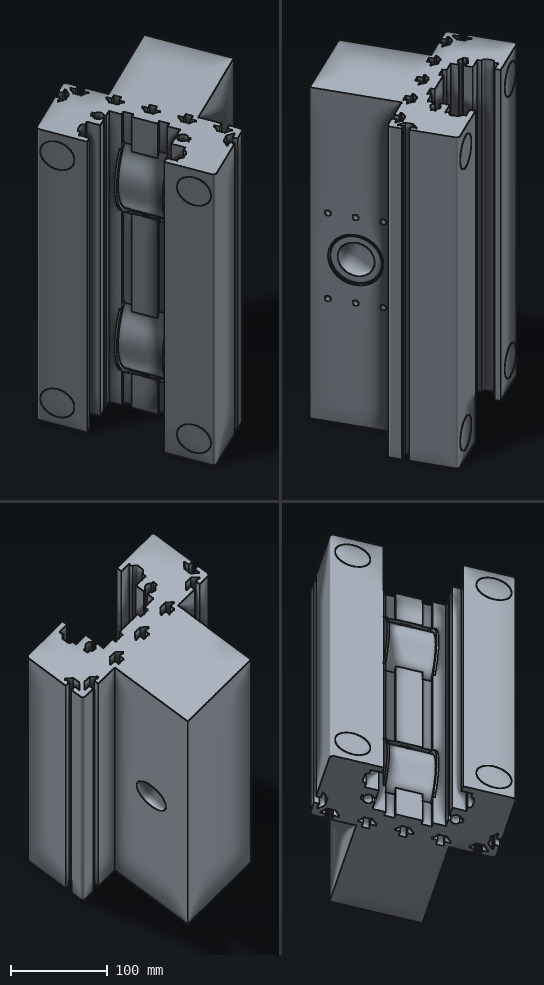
import cadquery as cq

length = 400.0
rail_width = 200.0
rail_depth = 78.0
corner_radius = 4.0

slot_pitch = 40.0
slots_on_mounting_face = 5
side_slot_y = -20.0
slot_opening = 8.0
slot_width = 20.0
slot_lip = 5.5
slot_wall = 1.0
slot_depth = 12.25
slot_floor_width = 8.5

channel_floor_y = -24.8
channel_half_width = 39.5
ledge_y = -48.9
chamber_half_width = 54.7
chamber_floor_y = -71.5
mouth_half_width = 42.8
groove_height = 13.0
groove_corner_radius = 4.0
groove_depth = 4.3
wall_slit_y = -35.8
wall_slit_height = 5.0
wall_bore_x = 47.0
wall_bore_diameter = 11.0

floor_groove_inner_x = 14.5
floor_groove_outer_x = 25.5
floor_groove_depth = 4.6

wheel_spacing = 220.0
flange_radius = 70.0
flange_crown_y = -39.0
flange_width = 2.3
tread_radius = 65.6
tread_width = 2 * floor_groove_outer_x

pad_diameter = 38.0
pad_spacing_x = 152.0
pad_spacing_z = 340.0
pad_recess = 0.2

block_size = 100.0
bore_diameter = 40.0
outer_step_diameter = 60.0
outer_step_depth = 1.0
inner_step_diameter = 56.0
inner_step_depth = 2.0
screw_hole_diameter = 6.65
screw_hole_depth = 15.0
screw_spacing_y = 30.0
screw_spacing_z = 103.4


def extrude_full_length(sketch):
    """Extrude a section drawn in the XY plane over the whole length, centred on Z = 0."""
    return sketch.extrude(length / 2, both=True)


def mirrored_in_x(solid):
    return solid.union(solid.mirror("YZ"))


def t_slot():
    """T-slot cutter, opening toward +Y at the origin."""
    half_right = [
        (slot_opening / 2, 0),
        (slot_opening / 2, -slot_lip),
        (slot_width / 2, -slot_lip),
        (slot_width / 2, -slot_lip - slot_wall),
        (slot_floor_width / 2, -slot_depth),
    ]
    half_left = [(-x, y) for x, y in reversed(half_right)]
    return extrude_full_length(cq.Workplane("XY").polyline(half_right + half_left).close())


def channel():
    """Open channel with undercut chambers and a rounded groove in each chamber wall."""
    half = (
        cq.Workplane("XY")
        .moveTo(0, channel_floor_y)
        .lineTo(channel_half_width, channel_floor_y)
        .lineTo(channel_half_width, ledge_y)
        .lineTo(chamber_half_width, ledge_y)
        .lineTo(chamber_half_width, chamber_floor_y)
        .lineTo(mouth_half_width, chamber_floor_y)
        .lineTo(mouth_half_width, -rail_depth)
        .lineTo(0, -rail_depth)
        .close()
    )
    groove_reach = chamber_half_width + groove_depth
    groove_y = (ledge_y + chamber_floor_y) / 2
    grooves = (
        cq.Workplane("XY")
        .center(0, groove_y)
        .rect(2 * groove_reach, groove_height)
        .extrude(length / 2, both=True)
        .edges("|Z")
        .fillet(groove_corner_radius)
    )
    return mirrored_in_x(extrude_full_length(half)).union(grooves)


def wall_slits():
    """Slit with a round bore along it, in both channel walls."""
    slit_width = chamber_half_width - channel_half_width
    slit_x = (chamber_half_width + channel_half_width) / 2
    slit = extrude_full_length(
        cq.Workplane("XY").center(slit_x, wall_slit_y).rect(slit_width, wall_slit_height)
    )
    bore = extrude_full_length(
        cq.Workplane("XY").center(wall_bore_x, wall_slit_y).circle(wall_bore_diameter / 2)
    )
    return mirrored_in_x(slit.union(bore))


def floor_grooves():
    groove_width = floor_groove_outer_x - floor_groove_inner_x
    groove_x = (floor_groove_outer_x + floor_groove_inner_x) / 2
    groove_y = channel_floor_y + floor_groove_depth / 2
    groove = cq.Workplane("XY").center(groove_x, groove_y).rect(groove_width, floor_groove_depth)
    return mirrored_in_x(extrude_full_length(groove))


def rail():
    blank = cq.Workplane("XY").center(0, -rail_depth / 2).rect(rail_width, rail_depth)
    body = extrude_full_length(blank).edges("|Z").fillet(corner_radius)
    for index in range(slots_on_mounting_face):
        slot_x = (index - (slots_on_mounting_face - 1) / 2) * slot_pitch
        body = body.cut(t_slot().translate((slot_x, 0, 0)))
    right_slot = t_slot().rotate((0, 0, 0), (0, 0, 1), -90).translate((rail_width / 2, side_slot_y, 0))
    body = body.cut(right_slot).cut(right_slot.mirror("YZ"))
    return body.cut(channel()).cut(wall_slits()).cut(floor_grooves())


def wheel_disc(radius, width):
    """Disc about the wheel axis (parallel to X), kept only below the mounting face."""
    axis_y = flange_crown_y + flange_radius
    disc = cq.Workplane("YZ").center(axis_y, 0).circle(radius).extrude(width / 2, both=True)
    below_face = cq.Workplane("XY").box(rail_width, rail_depth, length).translate((0, -rail_depth / 2, 0))
    return disc.intersect(below_face)


def add_wheel(body, wheel_z):
    """Cut a window for a wheel through the rail; the flanges fill it, the tread leaves a gap."""
    flanges = wheel_disc(flange_radius, tread_width + 2 * flange_width)
    window = wheel_disc(flange_radius, tread_width)
    tread = wheel_disc(tread_radius, tread_width)
    offset = (0, 0, wheel_z)
    return body.union(flanges.translate(offset)).cut(window.translate(offset)).union(tread.translate(offset))


def pad_recesses():
    return (
        cq.Workplane("XZ", origin=(0, -rail_depth, 0))
        .rarray(pad_spacing_x, pad_spacing_z, 2, 2)
        .circle(pad_diameter / 2)
        .extrude(-pad_recess)
    )


def block():
    """Block with a cross bore, and a two-step counterbore and screw holes in the -X face."""
    body = cq.Workplane("XY").box(block_size, block_size, length).translate((0, block_size / 2, 0))
    face = cq.Workplane("YZ", origin=(-block_size / 2, block_size / 2, 0))
    bore = face.circle(bore_diameter / 2).extrude(block_size)
    outer_step = face.circle(outer_step_diameter / 2).extrude(outer_step_depth)
    inner_step = face.circle(inner_step_diameter / 2).extrude(inner_step_depth)
    screw_holes = (
        face.rarray(screw_spacing_y, screw_spacing_z, 3, 2)
        .circle(screw_hole_diameter / 2)
        .extrude(screw_hole_depth)
    )
    return body.cut(bore).cut(outer_step).cut(inner_step).cut(screw_holes)


result = rail().union(block())
for wheel_z in (-wheel_spacing / 2, wheel_spacing / 2):
    result = add_wheel(result, wheel_z)
result = result.cut(pad_recesses())